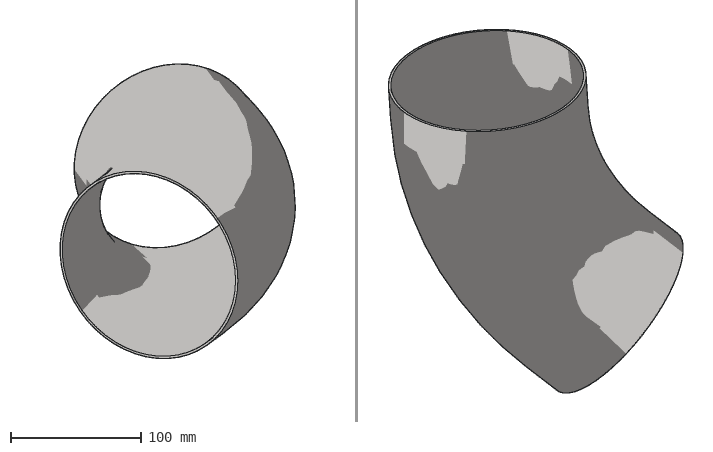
import cadquery as cq
import math

OUTER_DIAMETER = 152.4
WALL = 2.0
BEND_ANGLE = 45.0
BEND_RADIUS = 1.5 * OUTER_DIAMETER
END_LENGTH = 30.0

INNER_DIAMETER = OUTER_DIAMETER - 2 * WALL


def point_on_bend(angle_deg):
    """Point of the centreline arc, which turns from +Y towards -X."""
    angle = math.radians(angle_deg)
    x = BEND_RADIUS * (math.cos(angle) - 1)
    y = END_LENGTH + BEND_RADIUS * math.sin(angle)
    return x, y


def centreline():
    """Straight stub, circular bend and second straight stub, in the XY plane."""
    bend_end_x, bend_end_y = point_on_bend(BEND_ANGLE)
    turn = math.radians(BEND_ANGLE)
    outlet = (
        bend_end_x - END_LENGTH * math.sin(turn),
        bend_end_y + END_LENGTH * math.cos(turn),
    )
    return (
        cq.Workplane("XY")
        .lineTo(0, END_LENGTH)
        .threePointArc(point_on_bend(BEND_ANGLE / 2), (bend_end_x, bend_end_y))
        .lineTo(*outlet)
    )


def pipe_elbow():
    """Ring section at the inlet, swept along the centreline."""
    return (
        cq.Workplane("XZ")
        .circle(OUTER_DIAMETER / 2)
        .circle(INNER_DIAMETER / 2)
        .sweep(centreline())
    )


result = pipe_elbow()